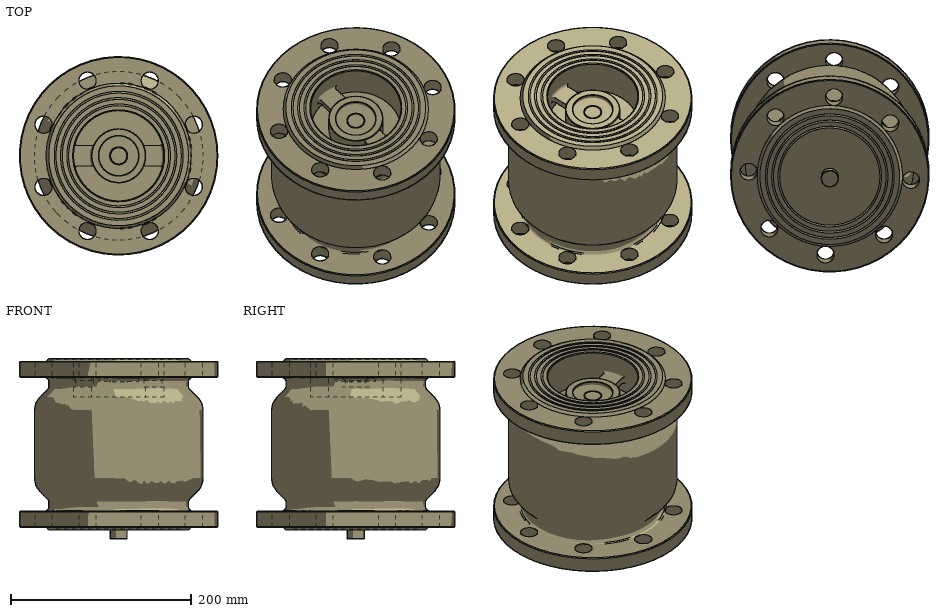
import cadquery as cq
import math

face_to_face = 190.0
mid_height = face_to_face / 2

flange_diameter = 220.0
flange_thickness = 18.0
flange_chamfer = 1.0

raised_face_diameter = 155.0
raised_face_height = 3.0

bolt_count = 8
bolt_circle_diameter = 180.0
bolt_hole_diameter = 19.0

neck_diameter = 155.0
neck_flare = 3.0
neck_flare_fillet = 2.5
neck_shoulder_fillet = 3.5

body_diameter = 187.0
shoulder_corner_offset = 46.2
shoulder_fillet = 20.0

groove_outer_diameters = (143.0, 129.0, 115.0)
groove_radius = 1.0

bore_diameter = 100.0
bore_depth = 42.6
bore_chamfer = 1.0

hub_diameter = 60.0
hub_top_depth = 21.0
hub_recess_diameter = 44.0
hub_recess_depth = 4.5
hub_rim_chamfer = 0.5
hub_recess_chamfer = 0.5
hub_recess_fillet = 0.5

arm_width = 22.5
arm_thickness = 7.0
arm_top_depth = 24.6
arm_bore_fillet = 2.5
arm_hub_fillet = 2.5

stem_diameter = 19.0
stem_chamfer = 0.5
stem_hole_chamfer = 0.5
stem_protrusion = 10.0

flange_radius = flange_diameter / 2
raised_face_radius = raised_face_diameter / 2
raised_face_base_radius = raised_face_radius + raised_face_height
neck_radius = neck_diameter / 2
body_radius = body_diameter / 2
bore_radius = bore_diameter / 2
hub_radius = hub_diameter / 2

flange_outer_z = mid_height - raised_face_height
flange_inner_z = flange_outer_z - flange_thickness
flare_end_z = flange_inner_z - neck_flare
shoulder_neck_z = shoulder_corner_offset + body_radius - neck_radius

bore_floor_z = face_to_face - bore_depth
hub_top_z = face_to_face - hub_top_depth
recess_floor_z = hub_top_z - hub_recess_depth
arm_top_z = face_to_face - arm_top_depth
arm_bottom_z = arm_top_z - arm_thickness

tolerance = 0.01


def cylinder(diameter, bottom, top):
    """Vertical cylinder on the part axis."""
    return cq.Workplane("XY").workplane(offset=bottom).circle(diameter / 2).extrude(top - bottom)


def circles_at(solid, radius, heights):
    """Circular edges of the given radius lying at any of the given heights."""

    def matches(edge):
        if edge.geomType() != "CIRCLE":
            return False
        if abs(edge.radius() - radius) > tolerance:
            return False
        return any(abs(edge.Center().z - height) < tolerance for height in heights)

    return solid.edges().filter(matches)


def make_body():
    """Solid of revolution: two flanges, flared necks and a rounded barrel."""
    upper_profile = [
        (raised_face_radius, mid_height),
        (raised_face_base_radius, flange_outer_z),
        (flange_radius, flange_outer_z),
        (flange_radius, flange_inner_z),
        (neck_radius + neck_flare, flange_inner_z),
        (neck_radius, flare_end_z),
        (neck_radius, shoulder_neck_z),
        (body_radius, shoulder_corner_offset),
    ]
    upper = [(r, mid_height + z) for r, z in upper_profile]
    lower = [(r, mid_height - z) for r, z in reversed(upper_profile)]
    outline = [(0, face_to_face)] + upper + lower + [(0, 0)]
    body = cq.Workplane("XZ").polyline(outline).close().revolve(360, (0, 0, 0), (0, 1, 0))

    roundings = [
        (body_radius, shoulder_corner_offset, shoulder_fillet),
        (neck_radius, shoulder_neck_z, neck_shoulder_fillet),
        (neck_radius, flare_end_z, neck_flare_fillet),
        (neck_radius + neck_flare, flange_inner_z, neck_flare_fillet),
    ]
    for radius, offset, fillet in roundings:
        heights = (mid_height - offset, mid_height + offset)
        body = circles_at(body, radius, heights).fillet(fillet)

    rim_heights = [mid_height + side * z for side in (-1, 1) for z in (flange_outer_z, flange_inner_z)]
    return circles_at(body, flange_radius, rim_heights).chamfer(flange_chamfer)


def cut_gasket_grooves(body):
    """Concentric half-round grooves in both raised faces."""
    for outer_diameter in groove_outer_diameters:
        center_radius = outer_diameter / 2 - groove_radius
        for face_height in (0, face_to_face):
            ring = cq.Solid.makeTorus(center_radius, groove_radius, cq.Vector(0, 0, face_height))
            body = body.cut(cq.Workplane(ring))
    return body


def cut_bolt_holes(body):
    """Bolt holes through each flange, straddling the X and Y axes."""
    first_angle = 180 / bolt_count
    for side in (-1, 1):
        flange_bottom = mid_height + min(side * flange_inner_z, side * flange_outer_z)
        holes = (
            cq.Workplane("XY")
            .workplane(offset=flange_bottom)
            .polarArray(bolt_circle_diameter / 2, first_angle, 360, bolt_count)
            .circle(bolt_hole_diameter / 2)
            .extrude(flange_thickness)
        )
        body = body.cut(holes)
    return body


def cut_bore(body):
    """Blind bore from the upper face with a chamfered mouth."""
    body = body.cut(cylinder(bore_diameter, bore_floor_z, face_to_face))
    return circles_at(body, bore_radius, (face_to_face,)).chamfer(bore_chamfer)


def add_guide(body):
    """Guide hub standing on the bore floor and held by two arms along X."""
    arms = (
        cq.Workplane("XY")
        .workplane(offset=arm_bottom_z)
        .rect(bore_diameter + 2 * arm_bore_fillet, arm_width)
        .extrude(arm_thickness)
    )
    body = body.union(arms).union(cylinder(hub_diameter, bore_floor_z, hub_top_z))

    arm_end_x = math.sqrt(bore_radius**2 - (arm_width / 2) ** 2)

    def at_arm_end(edge):
        center = edge.Center()
        vertical = (
            edge.geomType() == "LINE"
            and abs(abs(center.x) - arm_end_x) < tolerance
            and abs(center.z - (arm_top_z + arm_bottom_z) / 2) < tolerance
        )
        top = (
            edge.geomType() == "CIRCLE"
            and abs(edge.radius() - bore_radius) < tolerance
            and abs(center.z - arm_top_z) < tolerance
        )
        return vertical or top

    body = body.edges().filter(at_arm_end).fillet(arm_bore_fillet)
    body = circles_at(body, hub_radius, (arm_top_z,)).fillet(arm_hub_fillet)

    body = body.cut(cylinder(hub_recess_diameter, recess_floor_z, hub_top_z))
    body = circles_at(body, hub_radius, (hub_top_z,)).chamfer(hub_rim_chamfer)
    recess_radius = hub_recess_diameter / 2
    body = circles_at(body, recess_radius, (hub_top_z,)).chamfer(hub_recess_chamfer)
    body = circles_at(body, recess_radius, (recess_floor_z,)).fillet(hub_recess_fillet)

    mouth_bottom_z = recess_floor_z - stem_hole_chamfer
    stem_radius = stem_diameter / 2
    mouth_cone = cq.Solid.makeCone(
        stem_radius, stem_radius + stem_hole_chamfer, stem_hole_chamfer, cq.Vector(0, 0, mouth_bottom_z)
    )
    return body.cut(cq.Workplane(mouth_cone))


def make_stem():
    """Stem on the axis, flush with the hub recess floor and chamfered at both ends."""
    stem = cylinder(stem_diameter, -stem_protrusion, recess_floor_z)
    return stem.faces("<Z or >Z").chamfer(stem_chamfer)


result = make_body()
result = cut_gasket_grooves(result)
result = cut_bolt_holes(result)
result = cut_bore(result)
result = add_guide(result)
result = result.union(make_stem())